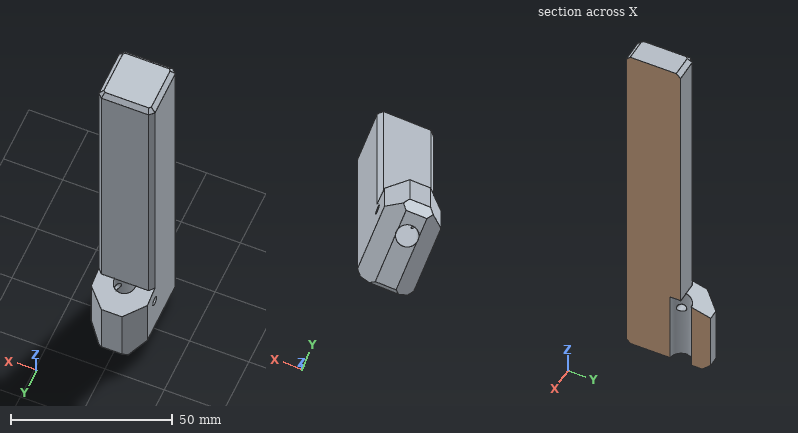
import cadquery as cq
import math

width = 19.0
height = 125.0
foot_depth = 29.5

edge_bevel = 1.5
foot_bevel = 6.0
heel_bevel = 3.0

shoulder_top = 26.9
shoulder_angle = 15.0
shoulder_start = width - edge_bevel
shoulder_slope = math.tan(math.radians(shoulder_angle))

bore_diameter = 7.2
bore_y = width

pin_diameter = 3.0
pin_y = 17.8
pin_z = 20.0

half_width = width / 2


def shoulder_height(y):
    """Height of the sloping shoulder at depth y."""
    return shoulder_top - (y - shoulder_start) * shoulder_slope


def beveled_plan(depth, rear_bevel):
    """Horizontal section prism, front face on y = 0, with beveled front and rear corners."""
    return (
        cq.Workplane("XY")
        .moveTo(half_width - edge_bevel, 0)
        .lineTo(half_width, edge_bevel)
        .lineTo(half_width, depth - rear_bevel)
        .lineTo(half_width - rear_bevel, depth)
        .lineTo(0, depth)
        .lineTo(0, 0)
        .close()
        .mirrorY()
        .extrude(height)
    )


def make_handle():
    """Square bar with beveled long edges and a beveled top rim."""
    return beveled_plan(width, edge_bevel).faces(">Z").chamfer(edge_bevel)


def make_foot():
    """Deeper lower block under the sloping shoulder."""
    side_profile = (
        cq.Workplane("YZ")
        .polyline([
            (0, 0),
            (foot_depth, 0),
            (foot_depth, shoulder_height(foot_depth)),
            (shoulder_start, shoulder_top),
            (0, shoulder_top),
        ])
        .close()
        .extrude(half_width, both=True)
    )
    return beveled_plan(foot_depth, foot_bevel).intersect(side_profile)


def bevel_bottom(body):
    """Trim the lower side edges, the rear bottom edge and the front bottom edge."""
    front_envelope = (
        cq.Workplane("XZ")
        .polyline([
            (-half_width + foot_bevel, 0),
            (half_width - foot_bevel, 0),
            (half_width, foot_bevel),
            (half_width, height),
            (-half_width, height),
            (-half_width, foot_bevel),
        ])
        .close()
        .extrude(-foot_depth)
    )
    side_envelope = (
        cq.Workplane("YZ")
        .polyline([
            (edge_bevel, 0),
            (foot_depth - heel_bevel, 0),
            (foot_depth, heel_bevel),
            (foot_depth, height),
            (0, height),
            (0, edge_bevel),
        ])
        .close()
        .extrude(half_width, both=True)
    )
    return body.intersect(front_envelope).intersect(side_envelope)


cord_bore = (
    cq.Workplane("XY")
    .center(0, bore_y)
    .circle(bore_diameter / 2)
    .extrude(shoulder_height(width))
)

pin_hole = (
    cq.Workplane("YZ")
    .center(pin_y, pin_z)
    .circle(pin_diameter / 2)
    .extrude(half_width, both=True)
)

body = bevel_bottom(make_handle().union(make_foot()))
result = body.cut(cord_bore).cut(pin_hole)